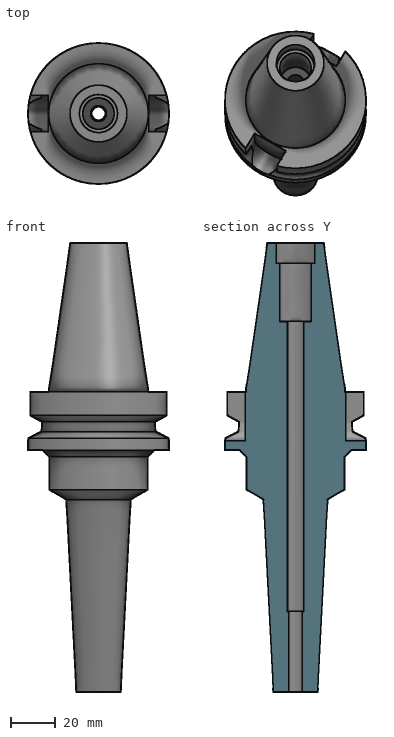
import cadquery as cq
import math


gauge_diameter = 44.45
shank_length = 65.4
shank_taper = 7 / 24
shank_end_diameter = gauge_diameter - shank_length * shank_taper
collar_gap = 1.0

flange_diameter = 63.0
flange_bottom = -27.0
groove_diameter = 53.0
groove_center = -16.6
groove_floor_width = 4.3
groove_flank_angle = 30.0
groove_depth = (flange_diameter - groove_diameter) / 2
groove_flank_height = groove_depth * math.tan(math.radians(groove_flank_angle))
groove_floor_half = groove_floor_width / 2
groove_mouth_half = groove_floor_half + groove_flank_height

neck_diameter = 44.0
neck_root_diameter = 50.0
neck_root_height = (neck_root_diameter - neck_diameter) / 2
neck_bottom = -44.7
neck_cone_angle = 30.0

nose_end = -135.0
total_length = shank_length - nose_end
nose_end_diameter = 20.0
nose_top = -49.2
nose_half_angle = 3.0
nose_top_diameter = nose_end_diameter + 2 * (nose_top - nose_end) * math.tan(math.radians(nose_half_angle))
neck_cone_end_diameter = neck_diameter - 2 * (neck_bottom - nose_top) / math.tan(math.radians(neck_cone_angle))

slot_width = 16.1
slot_floor_offset = 22.5
slot_bottom = -22.8

pilot_diameter = 17.0
pilot_depth = 9.0
thread_diameter = 14.0
thread_depth = 35.0
passage_diameter = 7.0
tool_bore_diameter = 6.0
tool_bore_depth = 36.0


def body():
    """Revolved outer shape, without bore or slots."""
    outline = [
        (shank_end_diameter, shank_length),
        (gauge_diameter, 0),
        (gauge_diameter, -collar_gap),
        (flange_diameter, -collar_gap),
        (flange_diameter, groove_center + groove_mouth_half),
        (groove_diameter, groove_center + groove_floor_half),
        (groove_diameter, groove_center - groove_floor_half),
        (flange_diameter, groove_center - groove_mouth_half),
        (flange_diameter, flange_bottom),
        (neck_root_diameter, flange_bottom),
        (neck_diameter, flange_bottom - neck_root_height),
        (neck_diameter, neck_bottom),
        (neck_cone_end_diameter, nose_top),
        (nose_top_diameter, nose_top),
        (nose_end_diameter, nose_end),
    ]
    points = [(-diameter / 2, z) for diameter, z in outline]
    profile = cq.Workplane("YZ").polyline([(0, shank_length)] + points + [(0, nose_end)]).close()
    return profile.revolve(360, (0, 0, 0), (0, 1, 0))


def drive_slot(side):
    """Round-bottomed cutter for the slot on the +X (side = 1) or -X (side = -1) side."""
    half_width = slot_width / 2
    arc_center = slot_bottom + half_width
    return (
        cq.Workplane("YZ", origin=(side * slot_floor_offset, 0, 0))
        .moveTo(-half_width, 0)
        .lineTo(-half_width, arc_center)
        .threePointArc((0, slot_bottom), (half_width, arc_center))
        .lineTo(half_width, 0)
        .close()
        .extrude(side * flange_diameter / 2)
    )


def bore_from_shank(diameter, depth):
    """Cylindrical cutter sunk into the small end of the shank."""
    return cq.Workplane("XY", origin=(0, 0, shank_length)).circle(diameter / 2).extrude(-depth)


result = body()
for slot_side in (-1, 1):
    result = result.cut(drive_slot(slot_side))
result = result.cut(bore_from_shank(pilot_diameter, pilot_depth))
result = result.cut(bore_from_shank(thread_diameter, thread_depth))
result = result.cut(bore_from_shank(passage_diameter, total_length - tool_bore_depth))
result = result.cut(bore_from_shank(tool_bore_diameter, total_length))